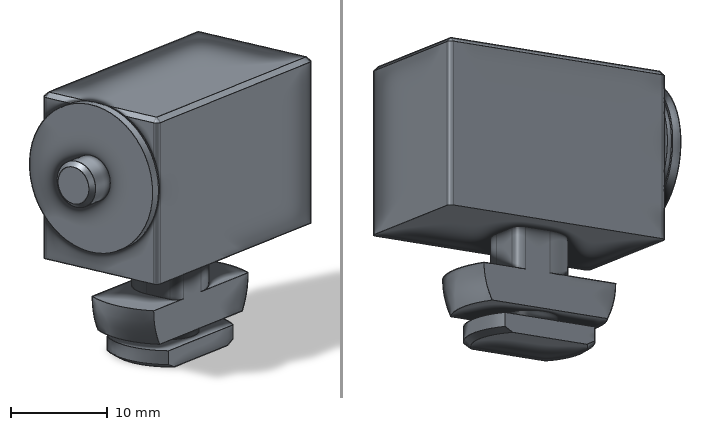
import cadquery as cq


HOUSING_WIDTH = 15.0
HOUSING_LENGTH = 26.5
HOUSING_HEIGHT = 18.0
UPRIGHT_RADIUS = 0.5
RIM_CHAMFER = 0.49
HOUSING_FRONT_Y = -12.0
HOUSING_TOP_Z = HOUSING_WIDTH / 2
HOUSING_BOTTOM_Z = HOUSING_TOP_Z - HOUSING_HEIGHT

DISC_DIAMETER = 16.0
DISC_THICKNESS = 1.0
SHOULDER_DIAMETER = 15.5
SHOULDER_THICKNESS = 0.5

PIN_DIAMETER = 5.0
PIN_PROJECTION = 3.0
PIN_CHAMFER = 0.5
PIN_LENGTH = SHOULDER_THICKNESS + DISC_THICKNESS + PIN_PROJECTION

FOOT_WIDTH = 8.0
STEM_HEIGHT = 4.5
STEM_CORNER_RADIUS = 1.0
HEAD_RADIUS = 9.0
HEAD_HEIGHT = 3.9
NECK_DIAMETER = 6.0
NECK_HEIGHT = 1.1
PLATE_RADIUS = 6.8
PLATE_HEIGHT = 2.0
PLATE_BEVEL_HEIGHT = 0.5
PLATE_BEVEL_DEPTH = 0.75
HEAD_TOP_Z = HOUSING_BOTTOM_Z - STEM_HEIGHT
HEAD_BOTTOM_Z = HEAD_TOP_Z - HEAD_HEIGHT
PLATE_TOP_Z = HEAD_BOTTOM_Z - NECK_HEIGHT
PLATE_BOTTOM_Z = PLATE_TOP_Z - PLATE_HEIGHT


def make_housing():
    """Block with rounded upright edges and a chamfered top rim."""
    return (
        cq.Workplane("XY", origin=(0, HOUSING_FRONT_Y, HOUSING_BOTTOM_Z))
        .box(HOUSING_WIDTH, HOUSING_LENGTH, HOUSING_HEIGHT, centered=(True, False, False))
        .edges("|Z").fillet(UPRIGHT_RADIUS)
        .faces(">Z").edges().chamfer(RIM_CHAMFER)
    )


def front_plane():
    """Plane on the housing front face, facing outward along -Y."""
    return cq.Workplane("XZ", origin=(0, HOUSING_FRONT_Y, 0))


def make_disc():
    """Disc with a slightly smaller shoulder behind it and a bore for the pin."""
    shoulder = front_plane().circle(SHOULDER_DIAMETER / 2).extrude(SHOULDER_THICKNESS)
    flange = (
        front_plane().workplane(offset=SHOULDER_THICKNESS)
        .circle(DISC_DIAMETER / 2).extrude(DISC_THICKNESS)
    )
    bore = front_plane().circle(PIN_DIAMETER / 2).extrude(PIN_LENGTH)
    return shoulder.union(flange).cut(bore)


def make_pin():
    """Round pin seated on the housing, chamfered at its free end."""
    return (
        front_plane().circle(PIN_DIAMETER / 2).extrude(PIN_LENGTH)
        .faces("<Y").chamfer(PIN_CHAMFER)
    )


def make_stem():
    """Round stem with two opposite quadrants squared off as quarter-turn stops."""
    radius = FOOT_WIDTH / 2
    base = cq.Workplane("XY", origin=(0, 0, HEAD_TOP_Z))
    stem = base.circle(radius).extrude(STEM_HEIGHT)
    for side in (-1, 1):
        outer_corner = (side * radius, -side * radius, HEAD_TOP_Z)
        stop = (
            base.center(side * radius / 2, -side * radius / 2)
            .rect(radius, radius).extrude(STEM_HEIGHT)
            .edges("|Z").edges(cq.NearestToPointSelector(outer_corner))
            .fillet(STEM_CORNER_RADIUS)
        )
        stem = stem.union(stop)
    return stem


def make_foot():
    """Stem, turned head, neck and plate; the turned parts are milled to the foot width."""
    head = (
        cq.Workplane("XY", origin=(0, 0, HEAD_TOP_Z)).sphere(HEAD_RADIUS)
        .intersect(
            cq.Workplane("XY", origin=(0, 0, HEAD_TOP_Z))
            .rect(FOOT_WIDTH, 2 * HEAD_RADIUS).extrude(-HEAD_HEIGHT)
        )
    )
    neck = (
        cq.Workplane("XY", origin=(0, 0, PLATE_TOP_Z))
        .circle(NECK_DIAMETER / 2).extrude(NECK_HEIGHT)
    )
    plate = (
        cq.Workplane("XZ")
        .moveTo(0, PLATE_TOP_Z)
        .lineTo(PLATE_RADIUS, PLATE_TOP_Z)
        .lineTo(PLATE_RADIUS, PLATE_BOTTOM_Z + PLATE_BEVEL_HEIGHT)
        .lineTo(PLATE_RADIUS - PLATE_BEVEL_DEPTH, PLATE_BOTTOM_Z)
        .lineTo(0, PLATE_BOTTOM_Z)
        .close()
        .revolve(360, (0, 0, 0), (0, 1, 0))
        .intersect(
            cq.Workplane("XY", origin=(0, 0, PLATE_TOP_Z))
            .rect(FOOT_WIDTH, 2 * PLATE_RADIUS).extrude(-PLATE_HEIGHT)
        )
    )
    return make_stem().union(head).union(neck).union(plate)


housing = make_housing()
disc = make_disc()
pin = make_pin()
foot = make_foot()

result = cq.Compound.makeCompound([housing.val(), disc.val(), pin.val(), foot.val()])